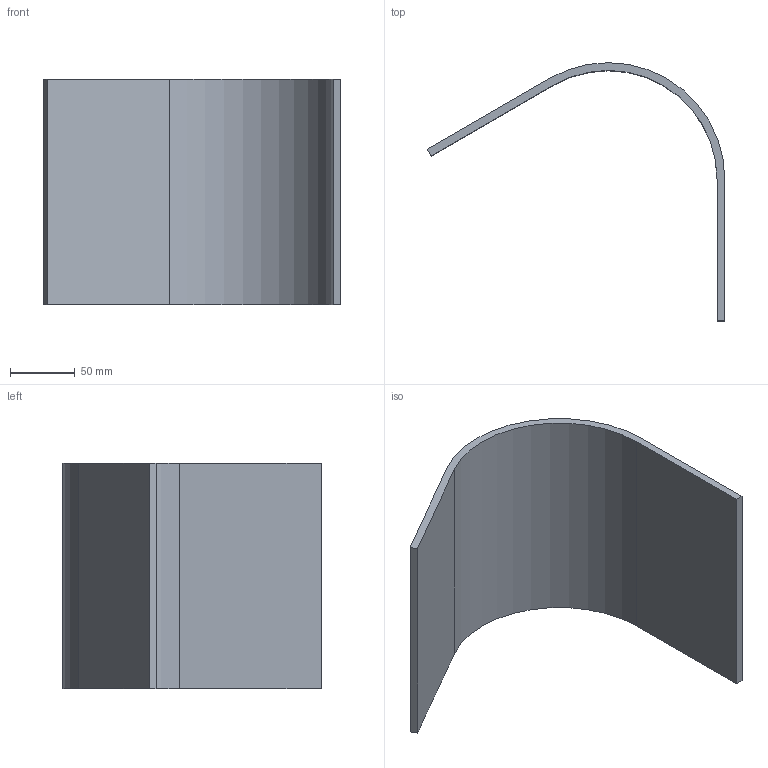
import cadquery as cq
import math

outer_radius = 90.0
thickness = 6.0
leg_length = 109.2
height = 174.2
bend_angle = 120.0

inner_radius = outer_radius - thickness
quarter_turn = 90.0


def bend_point(radius, angle):
    """Point on a circle about the bend axis, angle in degrees from +X."""
    radians = math.radians(angle)
    return (radius * math.cos(radians), radius * math.sin(radians))


def slanted_leg_end(radius):
    """Free end of the slanted leg, tangent to the bend where it stops."""
    x, y = bend_point(radius, bend_angle)
    along_x, along_y = bend_point(leg_length, bend_angle + quarter_turn)
    return (x + along_x, y + along_y)


def bent_plate():
    """Closed profile of the plate in XY, extruded to full height."""
    return (
        cq.Workplane("XY")
        .moveTo(outer_radius, -leg_length)
        .lineTo(outer_radius, 0)
        .threePointArc(bend_point(outer_radius, bend_angle / 2), bend_point(outer_radius, bend_angle))
        .lineTo(*slanted_leg_end(outer_radius))
        .lineTo(*slanted_leg_end(inner_radius))
        .lineTo(*bend_point(inner_radius, bend_angle))
        .threePointArc(bend_point(inner_radius, bend_angle / 2), bend_point(inner_radius, 0))
        .lineTo(inner_radius, -leg_length)
        .close()
        .extrude(height)
    )


result = bent_plate()